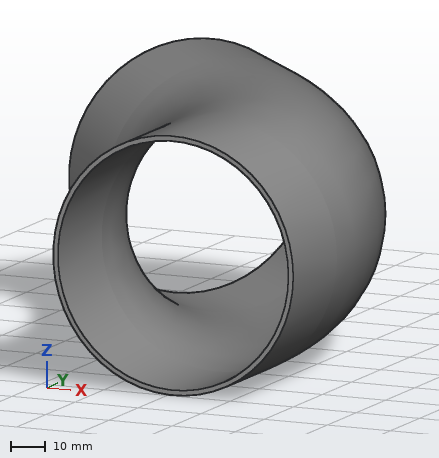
import cadquery as cq
import math

overall_length = 159.0
outer_diameter = 76.2
inner_diameter = 73.1
straight_length = 30.0
bend_angle = 45.0

outer_radius = outer_diameter / 2
sine = math.sin(math.radians(bend_angle))
cosine = math.cos(math.radians(bend_angle))
outside_bend_radius = (overall_length - straight_length * (1 + cosine)) / sine
bend_radius = outside_bend_radius - outer_radius


def ring(workplane):
    """Pipe wall cross-section centred on the workplane."""
    return workplane.circle(outer_diameter / 2).circle(inner_diameter / 2)


inlet_plane = cq.Plane(origin=(0, 0, 0), xDir=(1, 0, 0), normal=(0, 1, 0))
inlet = ring(cq.Workplane(inlet_plane)).extrude(straight_length)

bend_start = cq.Plane(origin=(0, straight_length, 0), xDir=(1, 0, 0), normal=(0, 1, 0))
bend = ring(cq.Workplane(bend_start)).revolve(
    bend_angle, (-bend_radius, 1.6, 0), (-bend_radius, 0, 0)
)

bend_end = cq.Plane(
    origin=(bend_radius * (cosine - 1), straight_length + bend_radius * sine, 0),
    xDir=(cosine, sine, 0),
    normal=(-sine, cosine, 0),
)
outlet = ring(cq.Workplane(bend_end)).extrude(straight_length)

result = inlet.union(bend).union(outlet)